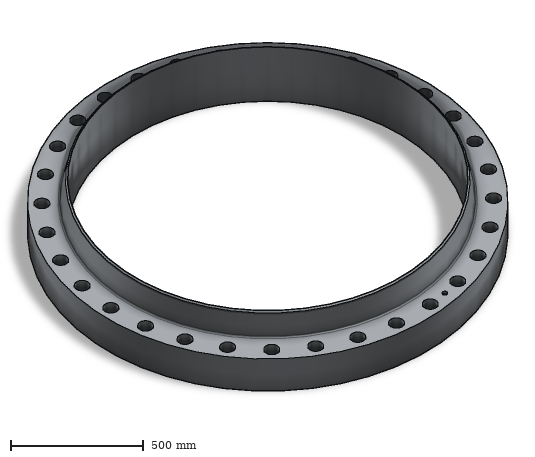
import cadquery as cq
import math

flange_diameter = 1810.0
flange_height = 161.0
flange_radius = flange_diameter / 2

total_height = 271.0
bore_radius = 753.0
neck_base_radius = 783.0
neck_top_radius = 762.0
collar_height = 5.0
bevel_height = 5.0
bevel_width = 7.0
base_fillet_radius = 7.0

bolt_count = 32
bolt_circle_radius = 850.0
bolt_hole_diameter = 60.0

small_hole_diameter = 13.0
countersink_diameter = 22.0
countersink_angle = 90
small_hole_depth = 36.0
small_hole_angle = 360 / bolt_count / 2


def ring_body():
    """Flange and neck, revolved about Z from half a cross-section."""
    bevel_start = total_height - bevel_height
    section = (
        cq.Workplane("XZ")
        .moveTo(bore_radius, 0)
        .lineTo(flange_radius, 0)
        .lineTo(flange_radius, flange_height)
        .lineTo(neck_base_radius, flange_height)
        .lineTo(neck_top_radius, bevel_start - collar_height)
        .lineTo(neck_top_radius, bevel_start)
        .lineTo(neck_top_radius - bevel_width, total_height)
        .lineTo(bore_radius, total_height)
        .close()
    )
    return section.revolve(360, (0, 0, 0), (0, 1, 0))


def fillet_neck_base(body):
    """Round the inner corner where the neck meets the flange face."""
    reach = 2.0
    corner_zone = cq.selectors.BoxSelector(
        (-flange_radius, -flange_radius, flange_height - reach),
        (flange_radius, flange_radius, flange_height + reach),
    )
    corner = body.edges(corner_zone).edges(cq.selectors.RadiusNthSelector(0))
    return corner.fillet(base_fillet_radius)


def bolt_holes():
    """Cylinders on the bolt circle, one of them on the +X axis."""
    return (
        cq.Workplane("XY")
        .polarArray(bolt_circle_radius, 0, 360, bolt_count)
        .circle(bolt_hole_diameter / 2)
        .extrude(flange_height)
    )


def cut_small_hole(body):
    """Drill the countersunk blind hole into the flange face, on the bolt circle."""
    angle = math.radians(small_hole_angle)
    return (
        body.copyWorkplane(cq.Workplane("XY", origin=(0, 0, flange_height)))
        .center(bolt_circle_radius * math.cos(angle), bolt_circle_radius * math.sin(angle))
        .cskHole(small_hole_diameter, countersink_diameter, countersink_angle, small_hole_depth)
    )


ring = fillet_neck_base(ring_body())
result = cut_small_hole(ring.cut(bolt_holes()))